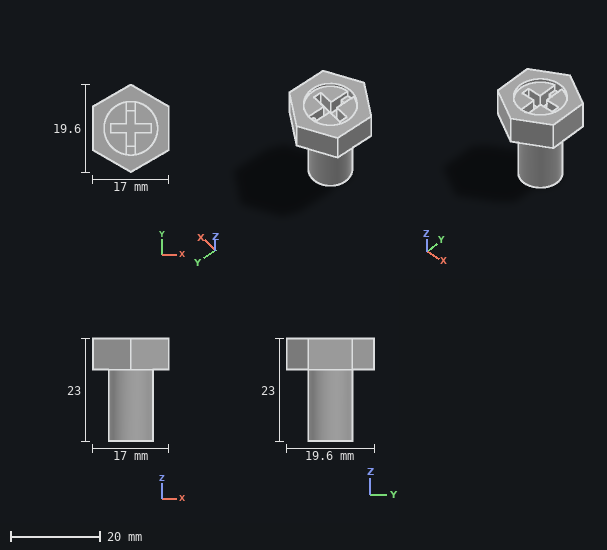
import cadquery as cq
import math

total_height = 23.0
head_height = 7.0
across_flats = 17.0
shank_diameter = 10.0
recess_diameter = 12.0
recess_depth = 1.0
slot_width = 2.05
short_slot_length = 9.1
deep_slot_length = 7.94
shelf_depth = 1.6
cross_depth = 4.0

shank_length = total_height - head_height
across_corners = across_flats / math.cos(math.radians(30))
recess_floor = total_height - recess_depth


def slot_cutter(x_size, y_size, depth):
    """Rectangular slot sunk from the recess floor, centred on the axis."""
    return cq.Workplane("XY", origin=(0, 0, recess_floor)).rect(x_size, y_size).extrude(-depth)


shank = cq.Workplane("XY").circle(shank_diameter / 2).extrude(shank_length)

head = (
    cq.Workplane("XY", origin=(0, 0, shank_length))
    .transformed(rotate=(0, 0, 90))
    .polygon(6, across_corners)
    .extrude(head_height)
)

recess = (
    cq.Workplane("XY", origin=(0, 0, recess_floor))
    .circle(recess_diameter / 2)
    .extrude(recess_depth)
)

shelf_bounds = (
    cq.Workplane("XY", origin=(0, 0, recess_floor))
    .circle(recess_diameter / 2)
    .extrude(-shelf_depth)
)
shelves = slot_cutter(slot_width, recess_diameter, shelf_depth).intersect(shelf_bounds)

result = (
    shank.union(head)
    .cut(recess.union(shelves))
    .cut(slot_cutter(short_slot_length, slot_width, cross_depth))
    .cut(slot_cutter(slot_width, deep_slot_length, cross_depth))
)